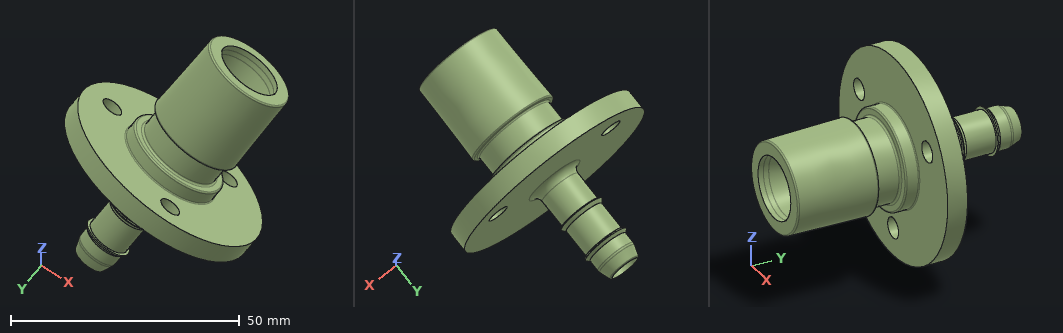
import cadquery as cq
import math

overall_length = 59.5

flange_diameter = 50.0
flange_thickness = 5.0
flange_front = 29.5
flange_back = flange_front + flange_thickness
mount_hole_diameter = 5.0
mount_circle_radius = 18.0
mount_hole_count = 3
first_hole_angle = 30.0

collar_diameter = 24.0
collar_length = 3.4
collar_front = flange_front - collar_length
collar_edge_radius = 0.35
collar_root_radius = 0.25
neck_diameter = 19.5
neck_collar_radius = 0.5
neck_plug_radius = 0.35
plug_length = 20.0
plug_back_diameter = 22.5
plug_front_diameter = 21.7
plug_edge_radius = 0.35

hose_diameter = 10.0
hose_root_radius = 2.0
tip_diameter = 8.0
tip_taper_length = 3.0
tip_edge_radius = 0.3
tip_blend_radius = 1.6

ring_diameter = 11.5
outer_ring_step = overall_length - 7.1
outer_ring_ramp = 0.7
outer_ring_land = 0.35
inner_ring_step = overall_length - 15.5
inner_ring_ramp = 0.9
inner_ring_land = 0.2

bore_diameter = 7.0
mouth_diameter = 15.0
mouth_length = 1.95
mouth_blend_radius = 8.9
cone_end = flange_front

select_margin = 0.005


def revolve_profile(points):
    """Turn a closed (radius, station) outline about the Y axis."""
    return cq.Workplane("XY").polyline(points).close().revolve(360, (0, 0, 0), (0, 1, 0))


def circle_edges(body, radius, station):
    """Select the circular edge of the given radius at a station along Y."""
    corner = radius + select_margin
    box = cq.selectors.BoxSelector(
        (-corner, station - select_margin, -corner),
        (corner, station + select_margin, corner),
        boundingbox=True,
    )
    largest_circle = cq.selectors.RadiusNthSelector(-1)
    return body.edges(box).edges(largest_circle)


def make_body():
    body = revolve_profile([
        (0, 0),
        (plug_front_diameter / 2, 0),
        (plug_back_diameter / 2, plug_length),
        (neck_diameter / 2, plug_length),
        (neck_diameter / 2, collar_front),
        (collar_diameter / 2, collar_front),
        (collar_diameter / 2, flange_front),
        (flange_diameter / 2, flange_front),
        (flange_diameter / 2, flange_back),
        (hose_diameter / 2, flange_back),
        (hose_diameter / 2, overall_length - tip_taper_length),
        (tip_diameter / 2, overall_length),
        (0, overall_length),
    ])
    roundings = [
        (plug_front_diameter, 0, plug_edge_radius),
        (plug_back_diameter, plug_length, plug_edge_radius),
        (neck_diameter, plug_length, neck_plug_radius),
        (neck_diameter, collar_front, neck_collar_radius),
        (collar_diameter, collar_front, collar_edge_radius),
        (collar_diameter, flange_front, collar_root_radius),
        (hose_diameter, flange_back, hose_root_radius),
        (hose_diameter, overall_length - tip_taper_length, tip_blend_radius),
        (tip_diameter, overall_length, tip_edge_radius),
    ]
    for diameter, station, radius in roundings:
        body = circle_edges(body, diameter / 2, station).fillet(radius)
    return body


def make_ring(step, ramp, land):
    return revolve_profile([
        (0, step),
        (ring_diameter / 2, step),
        (ring_diameter / 2, step + land),
        (hose_diameter / 2, step + land + ramp),
        (0, step + land + ramp),
    ])


def make_bore():
    bore = revolve_profile([
        (0, 0),
        (mouth_diameter / 2, 0),
        (mouth_diameter / 2, mouth_length),
        (bore_diameter / 2, cone_end),
        (bore_diameter / 2, overall_length),
        (0, overall_length),
    ])
    return circle_edges(bore, mouth_diameter / 2, mouth_length).fillet(mouth_blend_radius)


def make_mount_holes():
    holes = cq.Workplane("XY")
    for index in range(mount_hole_count):
        angle = math.radians(first_hole_angle + index * 360 / mount_hole_count)
        x = mount_circle_radius * math.cos(angle)
        z = mount_circle_radius * math.sin(angle)
        hole_start = cq.Vector(x, flange_front, z)
        hole_axis = cq.Vector(0, 1, 0)
        hole = cq.Solid.makeCylinder(mount_hole_diameter / 2, flange_thickness, hole_start, hole_axis)
        holes = holes.add(hole)
    return holes.combine()


result = (
    make_body()
    .union(make_ring(outer_ring_step, outer_ring_ramp, outer_ring_land))
    .union(make_ring(inner_ring_step, inner_ring_ramp, inner_ring_land))
    .cut(make_bore())
    .cut(make_mount_holes())
)